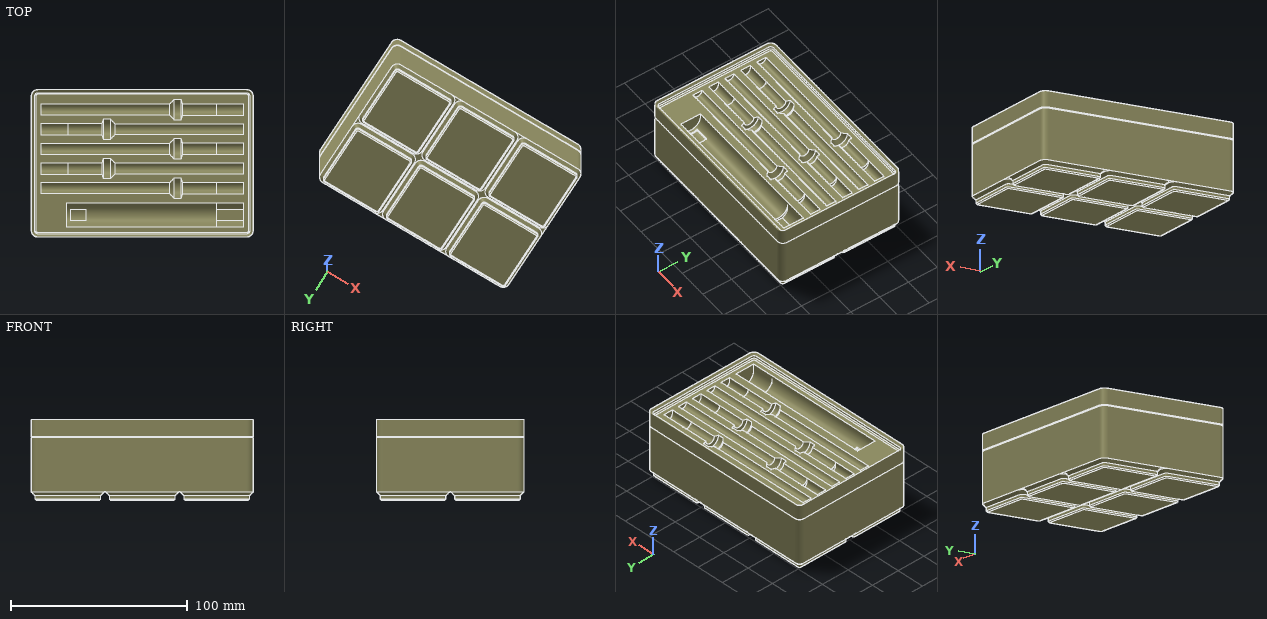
import cadquery as cq
import math

length = 125.5
total_height = 45.8
seam_height = 36.0
corner_radius = 3.8
rim_radius = 0.35

feet_x = 3
feet_y = 2
foot_gap = 0.6
foot_size = (length - (feet_x - 1) * foot_gap) / feet_x
foot_pitch = foot_size + foot_gap
width = feet_y * foot_size + (feet_y - 1) * foot_gap

foot_profile = (0.8, 1.9, 2.1)
rim_profile = (0.8, 1.8, 1.9)
foot_height = sum(foot_profile)
sharp_rim_height = total_height + math.sqrt(2) * rim_radius
tray_floor = sharp_rim_height - sum(rim_profile)

tool_lanes = 5
first_lane_y = 30.4
last_lane_y = -14.0
slot_end_x = 57.2
shank_diameter = 6.1
grip_diameter = 6.5
collar_diameter = 11.5
collar_cone_x = 15.4
collar_start_x = 18.1
collar_end_x = 22.0
grip_start_x = 22.7

tip_start_x = 41.9
tip_drop = 2.3

wide_slot_y = -29.2
wide_slot_start_x = -42.8
wide_slot_diameter = 13.5
wide_slot_axis_depth = 2.4

pocket_start_x = -40.7
pocket_length = 8.9
pocket_width = 6.1
pocket_depth = 1.0


def rounded_block(size_x, size_y, bottom, top, radius):
    """Upright block with rounded vertical edges."""
    block = cq.Workplane("XY").workplane(offset=bottom).rect(size_x, size_y).extrude(top - bottom)
    return block.edges("|Z").fillet(radius)


def tapered_block(size_x, size_y, radius, bottom, height):
    """Block that grows at 45 degrees to the given size at its top."""
    lower = cq.Sketch().rect(size_x - 2 * height, size_y - 2 * height).vertices().fillet(radius - height)
    upper = cq.Sketch().rect(size_x, size_y).vertices().fillet(radius)
    plane = cq.Workplane("XY").workplane(offset=bottom)
    return plane.placeSketch(lower, upper.moved(cq.Location(cq.Vector(0, 0, height)))).loft()


def stepped_block(size_x, size_y, top, profile):
    """Block with a taper, a straight part and a second taper, of the given size at its top."""
    bottom_taper, straight, top_taper = profile
    waist_x = size_x - 2 * top_taper
    waist_y = size_y - 2 * top_taper
    waist_radius = corner_radius - top_taper
    waist_top = top - top_taper
    waist_bottom = waist_top - straight
    upper = tapered_block(size_x, size_y, corner_radius, waist_top, top_taper)
    middle = rounded_block(waist_x, waist_y, waist_bottom, waist_top, waist_radius)
    lower = tapered_block(waist_x, waist_y, waist_radius, waist_bottom - bottom_taper, bottom_taper)
    return upper.union(middle).union(lower)


def rimmed_block(bottom, top, profile):
    """Full-size block with a stepped socket in its top and a rounded rim around it."""
    block = rounded_block(length, width, bottom, top, corner_radius)
    block = block.cut(stepped_block(length, width, top, profile))
    return block.edges(">Z").fillet(rim_radius)


def trough(start_x, end_x, y, diameter, axis_depth):
    """Cutter for a round-bottomed slot along X, with upright walls above its axis."""
    axis_height = tray_floor - axis_depth
    span = end_x - start_x
    round_bottom = (
        cq.Workplane("YZ", origin=(start_x, y, axis_height)).circle(diameter / 2).extrude(span)
    )
    if axis_depth == 0:
        return round_bottom
    walls = cq.Workplane("XY").box(span, diameter, axis_depth, centered=(False, True, False))
    return round_bottom.union(walls.translate((start_x, y, axis_height)))


def tool_slot(y, turned):
    """Cutter for a collared tool; a turned slot has its grip at the -X end."""
    shank = shank_diameter / 2
    grip = grip_diameter / 2
    collar = collar_diameter / 2
    tool = (
        cq.Workplane("XY")
        .moveTo(-slot_end_x, 0)
        .lineTo(-slot_end_x, shank)
        .lineTo(collar_cone_x, shank)
        .lineTo(collar_start_x, collar)
        .lineTo(collar_end_x, collar)
        .lineTo(grip_start_x, grip)
        .lineTo(tip_start_x, grip)
        .lineTo(tip_start_x, 0)
        .close()
        .revolve(360, (0, 0, 0), (1, 0, 0))
        .translate((0, 0, tray_floor))
    )
    tool = tool.union(trough(tip_start_x, slot_end_x, 0, grip_diameter, tip_drop))
    if turned:
        tool = tool.rotate((0, 0, 0), (0, 0, 1), 180)
    return tool.translate((0, y, 0))


def wide_slot():
    """Cutter for the wide slot; its lowered end opens through the tray's underside."""
    main = trough(wide_slot_start_x, tip_start_x, wide_slot_y, wide_slot_diameter, wide_slot_axis_depth)
    tip_depth = wide_slot_axis_depth + tip_drop
    return main.union(trough(tip_start_x, slot_end_x, wide_slot_y, wide_slot_diameter, tip_depth))


def slot_pocket():
    """Cutter for the shallow pocket, whose bottom follows the bottom of the wide slot."""
    pocket_end_x = pocket_start_x + pocket_length
    lowered = wide_slot_axis_depth + pocket_depth
    bottom = trough(pocket_start_x, pocket_end_x, wide_slot_y, wide_slot_diameter, lowered)
    sides = (
        cq.Workplane("XY", origin=(pocket_start_x, wide_slot_y, 0))
        .box(pocket_length, pocket_width, tray_floor, centered=(False, True, False))
    )
    return bottom.intersect(sides)


def make_box():
    """Lower body: a box on feet with a socket for the tray."""
    box = rimmed_block(foot_height, seam_height, foot_profile)
    foot = stepped_block(foot_size, foot_size, foot_height, foot_profile)
    for column in range(feet_x):
        for row in range(feet_y):
            foot_x = (column - (feet_x - 1) / 2) * foot_pitch
            foot_y = (row - (feet_y - 1) / 2) * foot_pitch
            box = box.union(foot.translate((foot_x, foot_y, 0)))
    return box


def make_tray():
    """Upper body: a tool tray whose stepped underside fills the socket of the box."""
    tray = rimmed_block(seam_height, sharp_rim_height, rim_profile)
    tray = tray.union(stepped_block(length, width, seam_height, foot_profile))
    lane_pitch = (first_lane_y - last_lane_y) / (tool_lanes - 1)
    for lane in range(tool_lanes):
        tray = tray.cut(tool_slot(first_lane_y - lane * lane_pitch, turned=lane % 2 == 1))
    return tray.cut(wide_slot()).cut(slot_pocket())


box = make_box()
tray = make_tray()
result = cq.Compound.makeCompound([box.solids().val(), tray.solids().val()])